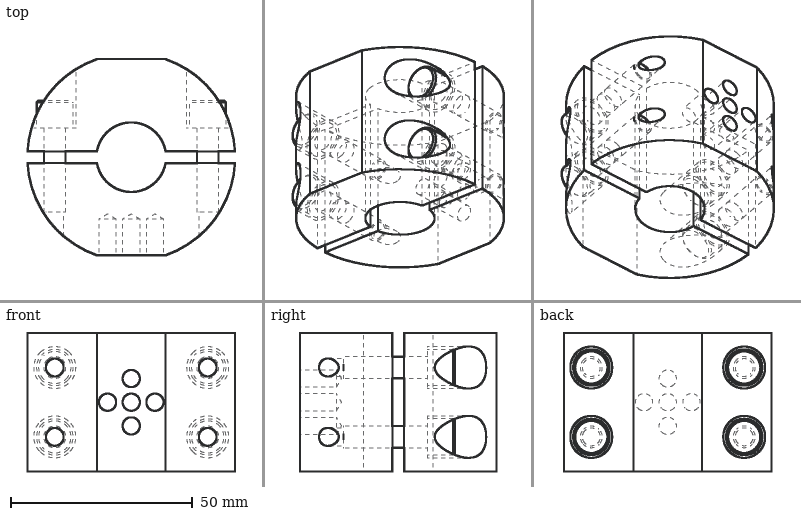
import cadquery as cq
import math

COLLAR_WIDTH = 38.1
FLAT_DISTANCE = 27.0
HALF_GAP = 1.6
SPLIT_EDGE_X = 28.55
COLLAR_RADIUS = math.hypot(SPLIT_EDGE_X, HALF_GAP)
BORE_DIAMETER = 19.05

SCREW_X = 21.0
SCREW_Z = COLLAR_WIDTH / 4
SHANK_DIAMETER = 6.0
HEAD_DIAMETER = 10.0
HEAD_HEIGHT = 7.65
HEAD_CHAMFER = 0.55
HEAD_TOP_Y = 15.65
HEAD_SEAT_Y = HEAD_TOP_Y - HEAD_HEIGHT
SHANK_END_Y = -15.0

COUNTERBORE_DIAMETER = 11.5
OUTLET_DIAMETER = 4.9

CROSS_HOLE_DIAMETER = 4.75
CROSS_HOLE_SPACING = 6.5
CROSS_HOLE_DEPTH = 10.0
DRILL_POINT_ANGLE = 118.0

Y_AXIS = cq.Vector(0, 1, 0)
SCREW_CENTRES = [(x, z) for x in (-SCREW_X, SCREW_X) for z in (-SCREW_Z, SCREW_Z)]


def rod_along_y(diameter, start_y, end_y, x, z):
    """Cylinder parallel to Y, from start_y up to end_y."""
    base = cq.Vector(x, start_y, z)
    return cq.Workplane(obj=cq.Solid.makeCylinder(diameter / 2, end_y - start_y, base, Y_AXIS))


def make_collar_half(side):
    """Plain half of the flat-sided ring, on the +Y side (side=1) or the -Y side (side=-1)."""
    section = cq.Workplane("XY").circle(COLLAR_RADIUS).circle(BORE_DIAMETER / 2)
    ring = section.extrude(COLLAR_WIDTH / 2, both=True)
    thickness = FLAT_DISTANCE - HALF_GAP
    slab = (
        cq.Workplane("XY")
        .box(2 * COLLAR_RADIUS, thickness, COLLAR_WIDTH)
        .translate((0, side * (HALF_GAP + thickness / 2), 0))
    )
    return ring.intersect(slab)


def make_shank(x, z):
    """Plain cylindrical screw shank below the head."""
    return rod_along_y(SHANK_DIAMETER, SHANK_END_Y, HEAD_SEAT_Y, x, z)


def make_head_half():
    """+Y half with a shank hole and a counterbore for every screw."""
    half = make_collar_half(1)
    for x, z in SCREW_CENTRES:
        half = half.cut(make_shank(x, z))
        half = half.cut(rod_along_y(COUNTERBORE_DIAMETER, HEAD_SEAT_Y, COLLAR_RADIUS, x, z))
    return half


def make_cross_hole(x, z):
    """Blind hole from the -Y flat with a conical drill point."""
    radius = CROSS_HOLE_DIAMETER / 2
    point_length = radius / math.tan(math.radians(DRILL_POINT_ANGLE / 2))
    bottom_y = CROSS_HOLE_DEPTH - FLAT_DISTANCE
    hole = rod_along_y(CROSS_HOLE_DIAMETER, -FLAT_DISTANCE, bottom_y, x, z)
    point = cq.Solid.makeCone(radius, 0, point_length, cq.Vector(x, bottom_y, z), Y_AXIS)
    return hole.union(cq.Workplane(obj=point))


def make_thread_half():
    """-Y half with a shank recess and a narrower outlet for every screw, plus the cross of drilled holes."""
    half = make_collar_half(-1)
    for x, z in SCREW_CENTRES:
        half = half.cut(make_shank(x, z))
        half = half.cut(rod_along_y(OUTLET_DIAMETER, -COLLAR_RADIUS, SHANK_END_Y, x, z))
    step = CROSS_HOLE_SPACING
    for x, z in [(0, 0), (-step, 0), (step, 0), (0, -step), (0, step)]:
        half = half.cut(make_cross_hole(x, z))
    return half


def make_screw(x, z):
    """Cap screw with a chamfered cylindrical head."""
    head = rod_along_y(HEAD_DIAMETER, HEAD_SEAT_Y, HEAD_TOP_Y, x, z).faces(">Y").chamfer(HEAD_CHAMFER)
    return head.union(make_shank(x, z))


head_half = make_head_half()
thread_half = make_thread_half()
screws = [make_screw(x, z) for x, z in SCREW_CENTRES]

result = cq.Compound.makeCompound([head_half.val(), thread_half.val(), *[screw.val() for screw in screws]])